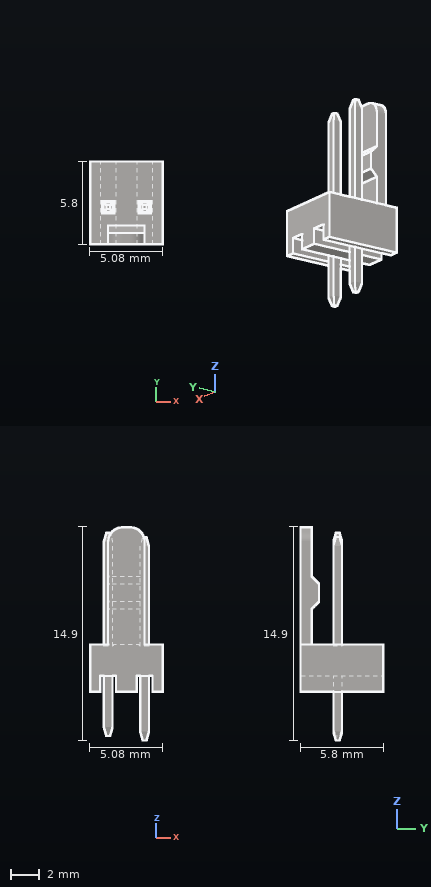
import cadquery as cq

total_height = 14.9

body_width = 5.08
body_depth = 5.8
body_height = 3.32
channel_width = 1.09
channel_height = 1.13

pin_pitch = body_width / 2
pin_size = 0.63
pin_tip_size = 0.27
pin_taper_length = 0.63
pin_length = 14.2
pin_y = 2.61
pin_drop = 0.31
right_pin_bottom = -3.4
left_pin_bottom = right_pin_bottom + pin_drop

recess_size = 0.86
recess_depth = (recess_size - pin_size) / 2

tongue_width = pin_pitch
tongue_thickness = 0.8
tongue_top = total_height + right_pin_bottom
tongue_corner_radius = 1.0
catch_height = 0.5
catch_flat = 1.25
catch_base = body_height + 2.47

left_pin_x = -pin_pitch / 2
right_pin_x = pin_pitch / 2


def box_on(x, y, z, width, depth, height):
    """Box centred on x, starting at y and z."""
    return cq.Workplane("XY").box(width, depth, height, centered=(True, False, False)).translate((x, y, z))


def square_frustum(x, z, bottom_size, top_size, height):
    """Tapered square block on a pin axis."""
    return (
        cq.Workplane("XY", origin=(x, pin_y, z))
        .rect(bottom_size, bottom_size)
        .workplane(offset=height)
        .rect(top_size, top_size)
        .loft(ruled=True)
    )


def make_housing():
    """Block with a through channel underneath and a lead-in recess above each pin."""
    housing = box_on(0, 0, 0, body_width, body_depth, body_height)
    for x in (left_pin_x, right_pin_x):
        housing = housing.cut(box_on(x, 0, 0, channel_width, body_depth, channel_height))
        recess = square_frustum(x, body_height - recess_depth, pin_size, recess_size, recess_depth)
        housing = housing.cut(recess)
    return housing


def make_pin(x, bottom):
    """Square pin tapered at both ends."""
    shank_bottom = bottom + pin_taper_length
    shank_length = pin_length - 2 * pin_taper_length
    shank = box_on(x, pin_y - pin_size / 2, shank_bottom, pin_size, pin_size, shank_length)
    lower_tip = square_frustum(x, bottom, pin_tip_size, pin_size, pin_taper_length)
    upper_tip = square_frustum(x, shank_bottom + shank_length, pin_size, pin_tip_size, pin_taper_length)
    return shank.union(lower_tip).union(upper_tip)


def make_tongue():
    """Upright plate with rounded top corners and a catch with 45 degree ramps."""
    plate = box_on(0, 0, body_height, tongue_width, tongue_thickness, tongue_top - body_height)
    plate = plate.edges("|Y and >Z").fillet(tongue_corner_radius)
    catch_y = tongue_thickness + catch_height
    catch_top = catch_base + catch_flat + 2 * catch_height
    catch = (
        cq.Workplane("YZ")
        .polyline([
            (tongue_thickness, catch_base),
            (catch_y, catch_base + catch_height),
            (catch_y, catch_top - catch_height),
            (tongue_thickness, catch_top),
        ])
        .close()
        .extrude(tongue_width / 2, both=True)
    )
    return plate.union(catch)


result = make_housing().union(make_tongue())
for pin_x, pin_bottom in ((left_pin_x, left_pin_bottom), (right_pin_x, right_pin_bottom)):
    result = result.union(make_pin(pin_x, pin_bottom))